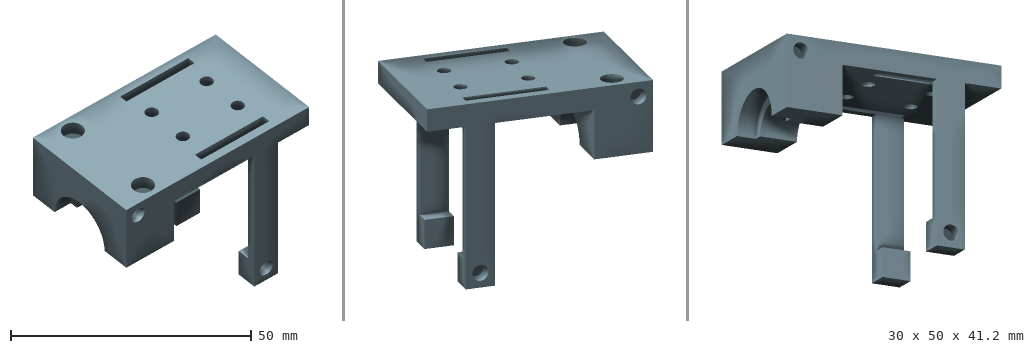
import cadquery as cq

width = 30
length = 50
plate_thickness = 5
total_height = 41.25

saddle_length = 13
saddle_height = 11
arch_radius = 6
recess_radius = 8
recess_depth = 4.4

leg_thickness = 2
leg_width = 6.5
leg_front_y = 10
foot_width = 3
foot_height = 6.5

pattern_y = 6.5
screw_diameter = 3
screw_spacing_x = 10
screw_spacing_y = 15
slot_width = 2
slot_length = 18.6
slot_edge_margin = 2

top_hole_diameter = 5
top_hole_side_margin = 3.75
top_hole_front_margin = 7.75
side_hole_diameter = 3.5
side_hole_margin = 3.25
blind_depth = 3

front_y = -length / 2
saddle_bottom_z = -plate_thickness - saddle_height
leg_center_y = leg_front_y + leg_width / 2


def box(size_x, size_y, size_z, center_x, center_y, bottom_z):
    block = cq.Workplane("XY").box(size_x, size_y, size_z, centered=(True, True, False))
    return block.translate((center_x, center_y, bottom_z))


def bore_along_y(radius, start_y, depth):
    """Cylinder along +Y on the bottom centreline of the saddle."""
    start = cq.Vector(0, start_y, saddle_bottom_z)
    return cq.Workplane(cq.Solid.makeCylinder(radius, depth, start, cq.Vector(0, 1, 0)))


def make_plate():
    plate = box(width, length, plate_thickness, 0, 0, -plate_thickness)
    screw_holes = (
        cq.Workplane("XY")
        .center(0, pattern_y)
        .rarray(screw_spacing_x, screw_spacing_y, 2, 2)
        .circle(screw_diameter / 2)
        .extrude(-plate_thickness)
    )
    slot_spacing = width - 2 * slot_edge_margin - slot_width
    slots = (
        cq.Workplane("XY")
        .center(0, pattern_y)
        .rarray(slot_spacing, 0.5, 2, 1)
        .rect(slot_width, slot_length)
        .extrude(-plate_thickness)
    )
    top_holes = (
        cq.Workplane("XY")
        .center(0, front_y + top_hole_front_margin)
        .rarray(width - 2 * top_hole_side_margin, 0.5, 2, 1)
        .circle(top_hole_diameter / 2)
        .extrude(-blind_depth)
    )
    return plate.cut(screw_holes).cut(slots).cut(top_holes)


def make_saddle():
    saddle = box(width, saddle_length, saddle_height, 0, front_y + saddle_length / 2, saddle_bottom_z)
    saddle = saddle.cut(bore_along_y(arch_radius, front_y, saddle_length))
    return saddle.cut(bore_along_y(recess_radius, front_y, recess_depth))


def make_leg(side):
    """Leg and foot on one side; side is -1 or +1 along X."""
    leg_height = total_height - plate_thickness
    leg_x = side * (width - leg_thickness) / 2
    foot_x = side * (width / 2 - leg_thickness - foot_width / 2)
    leg = box(leg_thickness, leg_width, leg_height, leg_x, leg_center_y, -total_height)
    foot = box(foot_width, leg_width, foot_height, foot_x, leg_center_y, -total_height)
    return leg.union(foot)


def side_hole(side, y, z):
    """Blind hole drilled inward from one side face."""
    start = cq.Vector(side * width / 2, y, z)
    inward = cq.Vector(-side, 0, 0)
    return cq.Workplane(cq.Solid.makeCylinder(side_hole_diameter / 2, blind_depth, start, inward))


result = make_plate().union(make_saddle())
for side in (-1, 1):
    result = result.union(make_leg(side))
    result = result.cut(side_hole(side, front_y + side_hole_margin, -side_hole_margin))
    result = result.cut(side_hole(side, leg_center_y, -total_height + foot_height / 2))